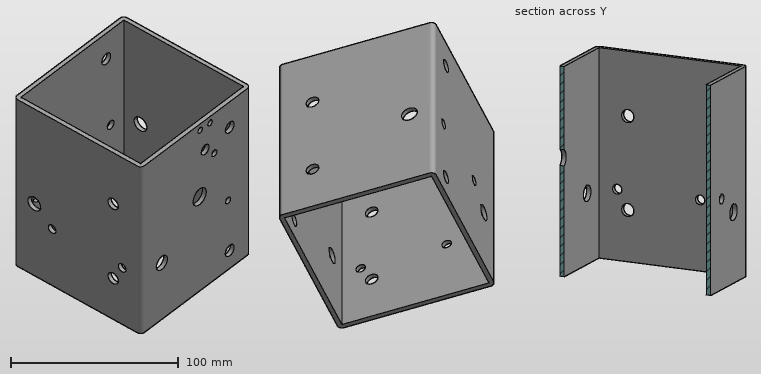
import cadquery as cq

side = 100.0
height = 130.0
wall = 3.0
corner_radius = 3.0

port_diameter = 12.0
passage_diameter = 10.0
bolt_diameter = 8.0
pin_diameter = 6.0
socket_diameter = 7.0
locating_diameter = 4.5
screw_diameter = 4.0

upper_level = -9.0
lower_level = -21.0

y_passage = [(-34.0, upper_level)]
y_bolts = [(28.0, 25.0), (28.0, -33.0)]
y_pins = [(-20.0, lower_level), (35.0, lower_level)]

x_passage = [(-31.0, lower_level)]
x_bolts = [(31.0, 45.0), (31.0, -51.0)]
x_pins = [(35.0, upper_level), (-15.0, upper_level)]

socket_y = 8.5
screw_spacing = 9.0
screw_level = 60.0
far_socket = [(socket_y, 42.0)]
far_screws = [(socket_y + side_sign * screw_spacing / 2, screw_level) for side_sign in (-1, 1)]
far_locating = [(17.0, 33.75), (29.5, -11.0)]
far_port = [(3.5, 8.5)]


def make_tube():
    """Tube with rounded outer corners and sharp inner corners."""
    outer = cq.Workplane("XY").box(side, side, height).edges("|Z").fillet(corner_radius)
    bore_side = side - 2 * wall
    bore = cq.Workplane("XY").box(bore_side, bore_side, height)
    return outer.cut(bore)


def drill_along_x(centres, diameter, start, length):
    """Cylinders at (y, z) centres, running toward +X from x = start."""
    plane = cq.Workplane("YZ", origin=(start, 0, 0))
    return plane.pushPoints(centres).circle(diameter / 2).extrude(length)


def drill_along_y(centres, diameter, start, length):
    """Cylinders at (x, z) centres, running toward +Y from y = start."""
    plane = cq.Workplane("XZ", origin=(0, start, 0))
    return plane.pushPoints(centres).circle(diameter / 2).extrude(-length)


near_face = -side / 2
far_inner_face = side / 2 - wall

result = make_tube()

result = result.cut(drill_along_y(y_passage, passage_diameter, near_face, side))
result = result.cut(drill_along_y(y_bolts, bolt_diameter, near_face, side))
result = result.cut(drill_along_x(x_passage, passage_diameter, near_face, side))
result = result.cut(drill_along_x(x_bolts, bolt_diameter, near_face, side))

result = result.cut(drill_along_y(y_pins, pin_diameter, near_face, wall))
result = result.cut(drill_along_x(x_pins, pin_diameter, near_face, wall))
far_wall_holes = [
    (far_socket, socket_diameter),
    (far_screws, screw_diameter),
    (far_locating, locating_diameter),
    (far_port, port_diameter),
]
for centres, diameter in far_wall_holes:
    result = result.cut(drill_along_x(centres, diameter, far_inner_face, wall))